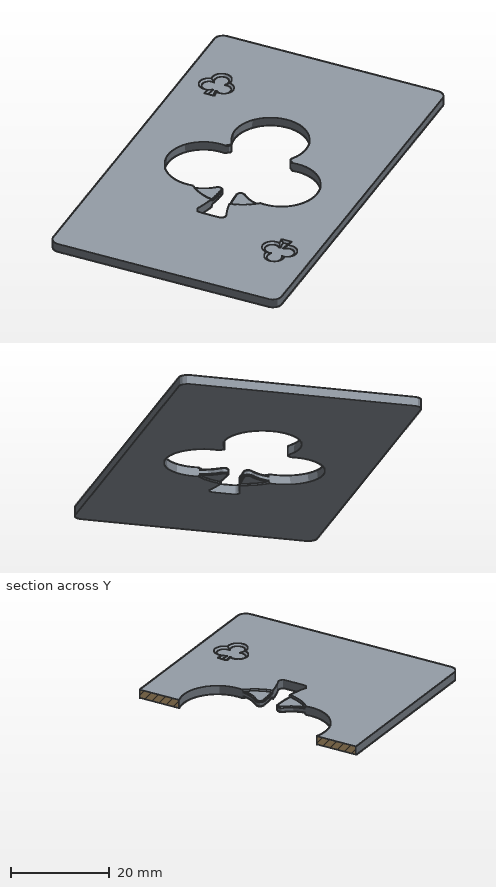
import cadquery as cq
import math

card_width = 51.0
card_length = 82.0
card_thickness = 2.0
card_corner_radius = 2.0

lobe_radius = 7.95
top_lobe_y = 10.9
side_lobe_x = 8.7
side_lobe_y = -2.6
tip_radius = 1.0
stem_neck_half_width = 1.55
stem_neck_y = -9.0
stem_flare_radius = 23.0
stem_bottom_y = -18.6
stem_corner_radius = 1.0

recess_radius = 10.9
recess_depth = 0.3
recess_wall_run = 0.25
tooth_chamfer = 0.25

pip_scale = 0.19
pip_x = 18.0
pip_y = 24.35
pip_depth = 0.4
pip_wall_run = 0.6
pip_stem_top_width = 0.2
pip_stem_foot_width = 1.15
pip_stem_foot_y = -3.4
pip_neck_top_width = 2.55
pip_neck_top_y = 1.2
pip_neck_bottom_width = 0.9
pip_neck_bottom_y = -1.55


def circle_crossing(center_a, radius_a, center_b, radius_b):
    """Crossing of two circles that lies to the left when walking from center_a to center_b."""
    dx = center_b[0] - center_a[0]
    dy = center_b[1] - center_a[1]
    distance = math.hypot(dx, dy)
    along = (distance**2 + radius_a**2 - radius_b**2) / (2 * distance)
    aside = math.sqrt(radius_a**2 - along**2)
    return (
        center_a[0] + (along * dx - aside * dy) / distance,
        center_a[1] + (along * dy + aside * dx) / distance,
    )


def toward(start, end, distance):
    """Point at the given distance from start, on the line through end."""
    length = math.dist(start, end)
    return tuple(s + (e - s) * distance / length for s, e in zip(start, end))


def club_opening():
    """Through cutter for the club, drawn as its right half and mirrored."""
    top_center = (0, top_lobe_y)
    side_center = (side_lobe_x, side_lobe_y)
    flare_center = (stem_neck_half_width + stem_flare_radius, stem_neck_y)
    grown_lobe = lobe_radius + tip_radius
    inner_flare = stem_flare_radius - tip_radius

    notch_center = circle_crossing(top_center, grown_lobe, side_center, grown_lobe)
    notch_start = toward(notch_center, top_center, tip_radius)
    notch_middle = toward(notch_center, (0, notch_center[1]), tip_radius)
    notch_end = toward(notch_center, side_center, tip_radius)

    tooth_center = circle_crossing(flare_center, inner_flare, side_center, grown_lobe)
    tooth_start = toward(tooth_center, side_center, tip_radius)
    tooth_middle = (tooth_center[0], tooth_center[1] + tip_radius)
    tooth_end = toward(flare_center, tooth_center, stem_flare_radius)

    foot_drop = stem_neck_y - stem_bottom_y
    foot_x = flare_center[0] - math.sqrt(stem_flare_radius**2 - foot_drop**2)
    flare_angle = math.asin(foot_drop / stem_flare_radius) / 2
    flare_middle = (
        flare_center[0] - stem_flare_radius * math.cos(flare_angle),
        flare_center[1] - stem_flare_radius * math.sin(flare_angle),
    )

    half = (
        cq.Workplane("XY")
        .moveTo(0, top_lobe_y + lobe_radius)
        .threePointArc((lobe_radius, top_lobe_y), notch_start)
        .threePointArc(notch_middle, notch_end)
        .threePointArc((side_lobe_x + lobe_radius, side_lobe_y), tooth_start)
        .threePointArc(tooth_middle, tooth_end)
        .threePointArc(flare_middle, (foot_x, stem_bottom_y))
        .lineTo(0, stem_bottom_y)
        .close()
        .extrude(card_thickness)
    )
    foot_edge = cq.selectors.NearestToPointSelector((foot_x, stem_bottom_y, card_thickness / 2))
    half = half.edges("|Z").edges(foot_edge).fillet(stem_corner_radius)
    return half.union(half.mirror("YZ"))


def cap_recess():
    """Shallow dish whose wall slopes inwards towards the floor."""
    return (
        cq.Workplane("XY", origin=(0, side_lobe_y, card_thickness - recess_depth))
        .circle(recess_radius - recess_wall_run)
        .workplane(offset=recess_depth)
        .circle(recess_radius)
        .loft(ruled=True)
    )


def recess_core(bottom, top):
    """Upright cylinder under the flat floor of the recess."""
    return (
        cq.Workplane("XY", origin=(0, side_lobe_y, bottom))
        .circle(recess_radius - recess_wall_run)
        .extrude(top - bottom)
    )


def teeth(opening):
    """Thinned material inside the recesses, chamfered along both rims of the opening."""
    bottom = recess_depth
    top = card_thickness - recess_depth
    plate = cq.Workplane("XY", origin=(0, 0, bottom)).rect(card_width, card_length).extrude(top - bottom)
    plate = plate.cut(opening)
    rims = [face.innerWires()[0] for face in plate.faces("<Z or >Z").vals()]
    plate = plate.newObject(rims).edges().chamfer(tooth_chamfer)
    return plate.intersect(recess_core(bottom, top))


def stem_outline(base, growth):
    """Trapezoid of the small club's stem, with its sides and foot moved out by growth."""
    top_half = pip_stem_top_width / 2 + growth
    foot_half = pip_stem_foot_width / 2 + growth
    top = pip_scale * side_lobe_y
    foot = pip_stem_foot_y - growth
    return base.polyline([(-top_half, top), (top_half, top), (foot_half, foot), (-foot_half, foot)]).close()


def pip_pocket():
    """Small club pocket: overlapping flared bodies that all widen towards the card face."""
    taper = -math.degrees(math.atan(pip_wall_run / pip_depth))
    floor = cq.Workplane("XY", origin=(-pip_x, pip_y, card_thickness - pip_depth))
    pocket = stem_outline(stem_outline(floor, 0).workplane(offset=pip_depth), pip_wall_run).loft(ruled=True)

    neck = [
        (-pip_neck_top_width / 2, pip_neck_top_y),
        (pip_neck_top_width / 2, pip_neck_top_y),
        (pip_neck_bottom_width / 2, pip_neck_bottom_y),
        (-pip_neck_bottom_width / 2, pip_neck_bottom_y),
    ]
    pocket = pocket.union(floor.polyline(neck).close().extrude(pip_depth, taper=taper))

    for x, y in [(0, top_lobe_y), (side_lobe_x, side_lobe_y), (-side_lobe_x, side_lobe_y)]:
        lobe = floor.center(x * pip_scale, y * pip_scale).circle(lobe_radius * pip_scale)
        pocket = pocket.union(lobe.extrude(pip_depth, taper=taper))
    return pocket


card = (
    cq.Workplane("XY")
    .rect(card_width, card_length)
    .extrude(card_thickness)
    .edges("|Z")
    .fillet(card_corner_radius)
)

opening = club_opening()
recess = cap_recess()
lower_recess = recess.mirror("XY").translate((0, 0, card_thickness))
card = card.cut(opening).cut(recess).cut(lower_recess)
card = card.cut(recess_core(0, card_thickness)).union(teeth(opening))

pip = pip_pocket()
for turn in (0, 180):
    card = card.cut(pip.rotate((0, 0, 0), (0, 0, 1), turn))

result = card